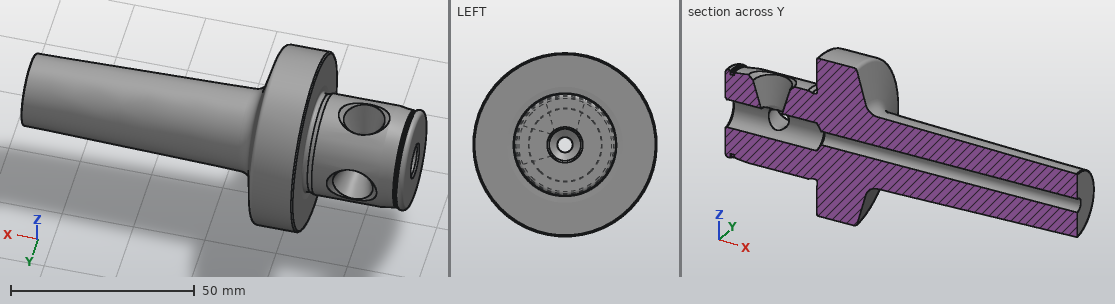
import cadquery as cq
import math


length = 108.0
flange_diameter = 50.0
flange_radius = flange_diameter / 2

pilot_radius = 14.0
nose_bead_radius = 1.2
nose_bead_height = 13.9
pilot_land_start = 6.9
pilot_land_end = 25.5

groove_start = 1.7
groove_end = 2.8
groove_rim_radius = 13.5
groove_floor_radius = 12.6
ring_chamfer = 0.3

undercut_start = 26.8
undercut_radius = 13.6
undercut_corner_radius = 0.59
undercut_face_radius = 15.8
undercut_face_angle = math.radians(4)

flange_face = 28.1
flange_chamfer = 0.4
flange_rim_end = 39.4
flange_back_fillet = 1.2
flange_back_angle = math.radians(15)

shank_start = 46.9
shank_start_radius = 11.5
shank_end_radius = 10.0
shank_fillet = 3.8
shank_end_chamfer = 0.2

bore_radius = 4.3
bore_chamfer = 0.5
bore_depth = flange_face
drill_tip_angle = math.radians(59)
through_radius = 2.0

seat_position = 14.3
seat_mouth_radius = 7.0
seat_rim_radius = 5.6
seat_floor_radius = 3.1
seat_angles = (0, -90)
overcut = 1.1


def turned(profile):
    """Revolve a closed profile, drawn as (x, radius) in the XZ plane, about the X axis."""
    return profile.close().revolve(360, (0, 0, 0), (1, 0, 0))


def arc_point(center, radius, angle):
    """Point on a circle in the profile plane, at an angle measured from +X."""
    return (center[0] + radius * math.cos(angle), center[1] + radius * math.sin(angle))


def outer_shape():
    bead_center = (nose_bead_radius, nose_bead_height - nose_bead_radius)
    bead_top = (nose_bead_radius, nose_bead_height)
    bead_end_angle = math.acos((groove_start - nose_bead_radius) / nose_bead_radius)
    bead_start = (0, bead_center[1])
    bead_end = arc_point(bead_center, nose_bead_radius, bead_end_angle)

    corner_height = undercut_radius + undercut_corner_radius
    run_out_rise = (undercut_face_radius - corner_height) * math.sin(undercut_face_angle)
    undercut_end = flange_face - (undercut_corner_radius - run_out_rise) / math.cos(undercut_face_angle)
    corner_center = (undercut_end, corner_height)
    corner_middle = arc_point(corner_center, undercut_corner_radius, (undercut_face_angle - math.pi / 2) / 2)
    corner_end = arc_point(corner_center, undercut_corner_radius, undercut_face_angle)

    rim_center = (flange_rim_end, flange_radius - flange_back_fillet)
    rim_middle = arc_point(rim_center, flange_back_fillet, (flange_back_angle + math.pi / 2) / 2)
    cone_start = arc_point(rim_center, flange_back_fillet, flange_back_angle)

    root_center = (shank_start, shank_start_radius + shank_fillet)
    cone_end_angle = math.pi + flange_back_angle
    cone_end = arc_point(root_center, shank_fillet, cone_end_angle)
    root_middle = arc_point(root_center, shank_fillet, (cone_end_angle + 3 * math.pi / 2) / 2)

    profile = (
        cq.Workplane("XZ")
        .moveTo(0, 0)
        .lineTo(*bead_start)
        .threePointArc(bead_top, bead_end)
        .lineTo(groove_start, groove_floor_radius)
        .lineTo(groove_end, groove_floor_radius)
        .lineTo(groove_end, groove_rim_radius)
        .lineTo(pilot_land_start, pilot_radius)
        .lineTo(pilot_land_end, pilot_radius)
        .lineTo(undercut_start, undercut_radius)
        .lineTo(undercut_end, undercut_radius)
        .threePointArc(corner_middle, corner_end)
        .lineTo(flange_face, undercut_face_radius)
        .lineTo(flange_face, flange_radius - flange_chamfer)
        .lineTo(flange_face + flange_chamfer, flange_radius)
        .lineTo(flange_rim_end, flange_radius)
        .threePointArc(rim_middle, cone_start)
        .lineTo(*cone_end)
        .threePointArc(root_middle, (shank_start, shank_start_radius))
        .lineTo(length - shank_end_chamfer, shank_end_radius)
        .lineTo(length, shank_end_radius - shank_end_chamfer)
        .lineTo(length, 0)
    )
    return turned(profile)


def axial_bore():
    tip_length = (bore_radius - through_radius) / math.tan(drill_tip_angle)
    profile = (
        cq.Workplane("XZ")
        .moveTo(0, 0)
        .lineTo(0, bore_radius + bore_chamfer)
        .lineTo(bore_chamfer, bore_radius)
        .lineTo(bore_depth, bore_radius)
        .lineTo(bore_depth + tip_length, through_radius)
        .lineTo(length, through_radius)
        .lineTo(length, 0)
    )
    return turned(profile)


def cross_seat(angle):
    """Cutter for a conical seat with a 45 degree mouth: cut from +Z to the bore, then turned about X."""
    rim_height = pilot_radius - (seat_mouth_radius - seat_rim_radius)
    seat = (
        cq.Workplane("XZ")
        .moveTo(0, 0)
        .lineTo(seat_floor_radius, 0)
        .lineTo(seat_floor_radius, bore_radius)
        .lineTo(seat_rim_radius, rim_height)
        .lineTo(seat_mouth_radius + overcut, pilot_radius + overcut)
        .lineTo(0, pilot_radius + overcut)
        .close()
        .revolve(360, (0, 0, 0), (0, 1, 0))
    )
    return seat.translate((seat_position, 0, 0)).rotate((0, 0, 0), (1, 0, 0), angle)


def make_adapter():
    adapter = outer_shape().cut(axial_bore())
    for angle in seat_angles:
        adapter = adapter.cut(cross_seat(angle))
    return adapter


def make_ring():
    """Sealing ring filling the groove: flush with its rear rim, both outer edges chamfered."""
    profile = (
        cq.Workplane("XZ")
        .moveTo(groove_start, groove_floor_radius)
        .lineTo(groove_end, groove_floor_radius)
        .lineTo(groove_end, groove_rim_radius - ring_chamfer)
        .lineTo(groove_end - ring_chamfer, groove_rim_radius)
        .lineTo(groove_start + ring_chamfer, groove_rim_radius)
        .lineTo(groove_start, groove_rim_radius - ring_chamfer)
    )
    return turned(profile)


adapter = make_adapter()
ring = make_ring()
result = cq.Compound.makeCompound([adapter.val(), ring.val()])